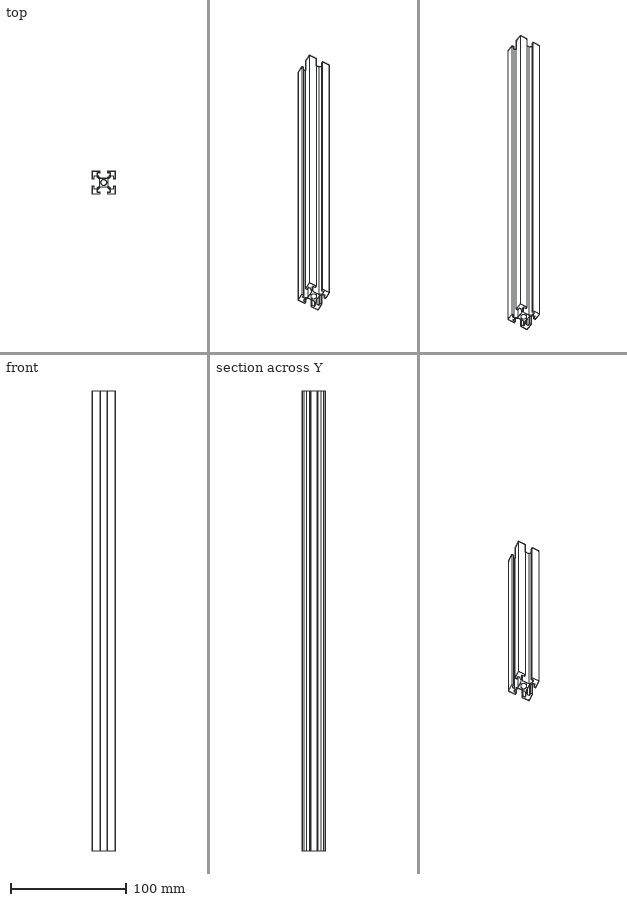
import cadquery as cq
import math

side = 20.0
length = 400.0
slot_opening = 6.4
slot_width = 11.0
lip_thickness = 1.7
core_width = 7.8
web_thickness = 1.3
bore_diameter = 5.0

half_side = side / 2
half_opening = slot_opening / 2
half_slot = slot_width / 2
half_core = core_width / 2
lip_inner = half_side - lip_thickness
web_offset = web_thickness / math.sqrt(2)


def make_slot():
    """T-slot on the +Y side, running the full length."""
    right_edge = [
        (half_opening, half_side),
        (half_opening, lip_inner),
        (half_slot, lip_inner),
        (half_slot, half_slot + web_offset),
        (half_core - web_offset, half_core),
    ]
    left_edge = [(-x, y) for x, y in reversed(right_edge)]
    return cq.Workplane("XY").polyline(right_edge + left_edge).close().extrude(length)


def make_profile():
    """Square bar with a T-slot on each side and a central bore."""
    bar = cq.Workplane("XY").rect(side, side).extrude(length)
    slot = make_slot()
    for quarter_turn in range(4):
        turned_slot = slot.rotate((0, 0, 0), (0, 0, 1), 90 * quarter_turn)
        bar = bar.cut(turned_slot)
    bore = cq.Workplane("XY").circle(bore_diameter / 2).extrude(length)
    return bar.cut(bore)


result = make_profile()